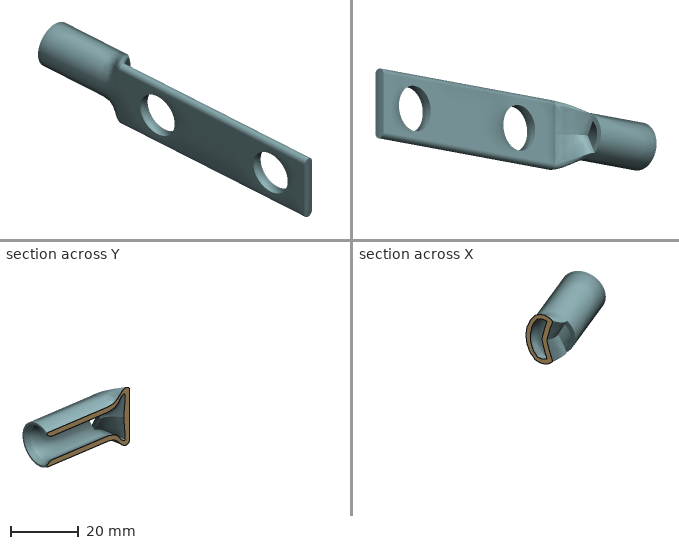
import cadquery as cq
import math

total_length = 104.9
barrel_diameter = 14.3
barrel_length = 23.7
tongue_start = 31.8
tongue_width = 20.9
tongue_thickness = 3.3

bore_diameter = 11.1
mouth_diameter = 12.8
mouth_depth = 1.7

hole_diameter = 13.5
first_hole_x = 47.0
hole_spacing = 44.5

outer_apex_y = 1.7
outer_arm_y = 4.5
inner_apex_y = -0.2
inner_arm_y = 2.3
seam_y = -2.8
inner_seam_y = -2.2

slit_width = 16.8
slit_thickness = 0.2
neck_steps = 4

flattening_delay = 1.3

barrel_radius = barrel_diameter / 2
bore_radius = bore_diameter / 2
tongue_y = tongue_thickness / 2 - barrel_radius
neck_length = tongue_start - barrel_length


def v_section(radius, front_y, arm_y, apex_y):
    """Points of the upper half of a circle cut by a V, from front to apex."""
    front_angle = math.asin(front_y / radius)
    arm_angle = math.asin(arm_y / radius)
    angles = [
        -math.pi / 2,
        front_angle,
        (front_angle + arm_angle) / 2,
        arm_angle,
    ]
    points = [(radius * math.sin(a), radius * math.cos(a)) for a in angles]
    return points + [(apex_y, 0)]


def slot_section(width, thickness):
    """Matching points of the upper half of a flat bar with round edges."""
    radius = thickness / 2
    straight = width / 2 - radius
    return [
        (tongue_y - radius, 0),
        (tongue_y - radius, straight),
        (tongue_y, width / 2),
        (tongue_y + radius, straight),
        (tongue_y + radius, 0),
    ]


def mirrored(point):
    return (point[0], -point[1])


def ease(fraction):
    """Rise from 0 to 1 that is level at both ends."""
    return fraction**2 * (3 - 2 * fraction)


def blended_wire(start, end, fraction):
    """Section of the neck, easing smoothly from the V to the flat bar."""
    flattening = ease(fraction**flattening_delay)
    widening = ease(fraction)
    half = [
        (a[0] + (b[0] - a[0]) * flattening, a[1] + (b[1] - a[1]) * widening)
        for a, b in zip(start, end)
    ]
    front, seam, edge_middle, arm, apex = half
    plane = cq.Workplane("YZ", origin=(barrel_length + neck_length * fraction, 0, 0))
    outline = plane.moveTo(*mirrored(seam))
    if fraction < 1:
        outline = outline.threePointArc(front, seam)
    else:
        outline = outline.lineTo(*seam)
    return (
        outline.threePointArc(edge_middle, arm)
        .lineTo(*apex)
        .lineTo(*mirrored(arm))
        .threePointArc(mirrored(edge_middle), mirrored(seam))
        .close()
        .val()
    )


def neck_loft(start, end):
    wires = [blended_wire(start, end, i / neck_steps) for i in range(neck_steps + 1)]
    return cq.Workplane(cq.Solid.makeLoft(wires, False))


def make_barrel():
    return cq.Workplane("YZ").circle(barrel_radius).extrude(barrel_length)


def make_bore():
    bore = cq.Workplane("YZ").circle(bore_radius).extrude(barrel_length)
    mouth = cq.Workplane(
        cq.Solid.makeCone(
            mouth_diameter / 2, bore_radius, mouth_depth, dir=cq.Vector(1, 0, 0)
        )
    )
    return bore.union(mouth)


def make_tongue():
    return (
        cq.Workplane("YZ", origin=(tongue_start, tongue_y, 0))
        .slot2D(tongue_width, tongue_thickness, 90)
        .extrude(total_length - tongue_start)
    )


def make_bolt_holes():
    centers = [(first_hole_x + i * hole_spacing, 0) for i in range(2)]
    return (
        cq.Workplane("XZ")
        .pushPoints(centers)
        .circle(hole_diameter / 2)
        .extrude(barrel_diameter, both=True)
    )


neck = neck_loft(
    v_section(barrel_radius, seam_y, outer_arm_y, outer_apex_y),
    slot_section(tongue_width, tongue_thickness),
)
cavity = neck_loft(
    v_section(bore_radius, inner_seam_y, inner_arm_y, inner_apex_y),
    slot_section(slit_width, slit_thickness),
)

result = (
    make_barrel()
    .union(neck)
    .union(make_tongue())
    .cut(make_bore())
    .cut(cavity)
    .cut(make_bolt_holes())
)